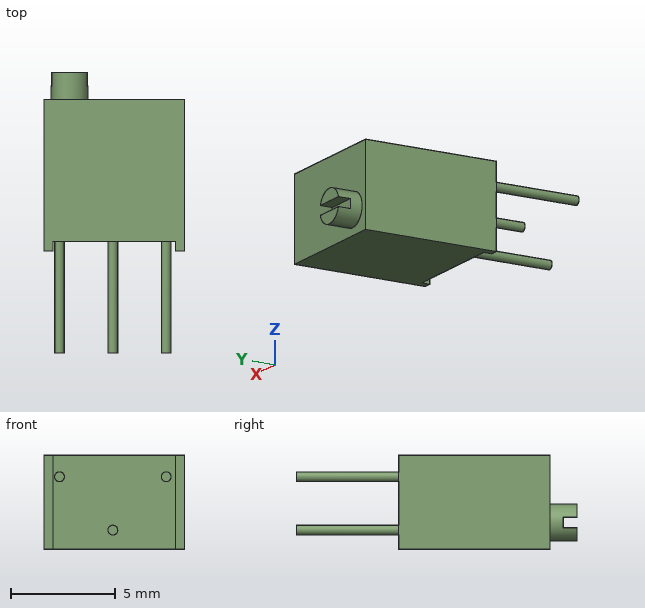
import cadquery as cq

total_length = 13.4
body_width = 6.71
body_height = 4.5
body_length = 7.24

foot_width = 0.44
foot_length = 0.44

screw_length = 1.29
screw_diameter = 1.78
screw_from_left = 1.22
screw_from_bottom = 1.29
slot_width = 0.5
slot_depth = 0.65

pin_diameter = 0.47
pin_pitch = 2.55
pin_row_offset = -0.07
outer_pin_from_top = 1.03

pin_tip_y = 0.0
screw_end_y = total_length
body_back_y = screw_end_y - screw_length
feet_y = body_back_y - body_length
pin_face_y = feet_y + foot_length
screw_x = -body_width / 2 + screw_from_left
outer_pin_z = body_height - outer_pin_from_top
middle_pin_z = outer_pin_z - pin_pitch


def rod(x, z, diameter, start_y, end_y):
    """Round rod parallel to Y."""
    direction = cq.Vector(0, 1, 0)
    base = cq.Vector(x, start_y, z)
    return cq.Workplane(obj=cq.Solid.makeCylinder(diameter / 2, end_y - start_y, base, direction))


def make_body():
    """Rectangular housing with a recess between its two feet."""
    housing = cq.Workplane("XY").box(
        body_width, body_length, body_height, centered=(True, False, False)
    ).translate((0, feet_y, 0))
    recess = cq.Workplane("XY").box(
        body_width - 2 * foot_width, foot_length, body_height, centered=(True, False, False)
    ).translate((0, feet_y, 0))
    return housing.cut(recess)


def make_screw():
    """Screw head with a driver slot running along X."""
    head = rod(screw_x, screw_from_bottom, screw_diameter, body_back_y, screw_end_y)
    slot = cq.Workplane("XY").box(
        screw_diameter, slot_depth, slot_width, centered=(True, False, True)
    ).translate((screw_x, screw_end_y - slot_depth, screw_from_bottom))
    return head.cut(slot)


result = make_body().union(make_screw())
for column, pin_z in ((-1, outer_pin_z), (0, middle_pin_z), (1, outer_pin_z)):
    pin_x = pin_row_offset + column * pin_pitch
    result = result.union(rod(pin_x, pin_z, pin_diameter, pin_tip_y, pin_face_y))